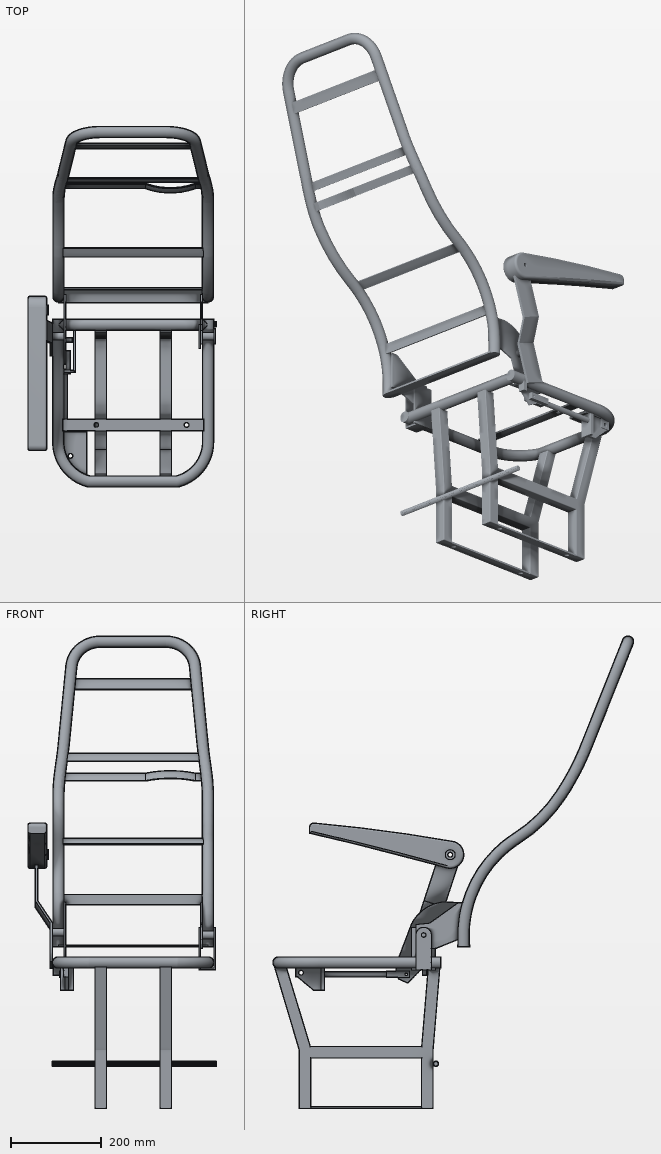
import cadquery as cq
import math


tube_d = 25.0
tube_r = tube_d / 2

seat_z = 321.5
seat_half = 165.0
seat_rear = 370.0
seat_bend_r = 90.0
seat_bend_angle = math.radians(76)
strap_y = 137.0
strap_w = 26.0
strap_hole_x = (-81.0, 117.5)
bolt_hole_d = 10.0
weld_bite = 3.0
seat_top = seat_z + tube_r
seat_under = seat_z - tube_r
rail_inner = seat_half - tube_r
rail_outer = seat_half + tube_r

leg_w = 26.0
leg_x = 71.5
leg_edge_r = 1.5
knee_z = 124.0
leg_bend_z = 130.5
rear_foot_y = 340.0
front_foot_y = 71.0
rear_leg_top_y = 355.0
front_leg_top_y = 16.5
foot_plate_t = 4.0
foot_hole_d = 10.0
foot_hole_inset = 30.0

back_half = 164.5
back_foot = (420.0, 356.0)
back_bend_start = (420.0, 382.0)
back_inflection = (537.0, 595.0)
back_bend_end = (635.0, 692.0)
head_start = (691.0, 800.0)
head_half = 153.0
back_top = (781.74, 1027.65)
head_lean = math.radians(5.2)
head_bend_r = 64.0

plate_t = 4.0
wing_outer = back_half - tube_r + 0.4
wing_inner = wing_outer - plate_t
left_pivot = (332.0, 388.0)
right_pivot = (332.0, 382.0)
pin_d = 10.0
pin_sleeve_d = 17.0
stop_pin = (324.0, 322.0)
stop_pin_x = -134.0

arm_pivot = (390.5, 558.7)
arm_tilt = 18.2
post_w = 47.0
post_t = 6.0
post_bend_upper = 114.0
post_bend_lower = 165.0
post_length = 255.5
post_offset = 32.5
pad_x0 = -231.6
pad_x1 = -190.0
pad_r = 30.0
pad_tip_y = 80.5
pad_tip_top = 629.5
pad_tip_bottom = 606.0
pad_top_slope = math.radians(10)
pad_bottom_slope = math.radians(15.5)
pad_edge_r = 5.0
pad_tip_r = 10.0
bush_d = 22.0
bush_bore = 10.0
bush_x1 = -186.5

spring_pin = (293.7, 295.5)
spring_rod_d = 12.0
clevis_w = 24.0
clevis_length = 51.0
clevis_h = 14.0
clevis_slot = 40.0
spring_pin_d = 5.0
anchor_y = 114.0

rod_d = 12.0
rod_root_d = 10.0
rod_pitch = 2.0
rod_x0 = -178.5
rod_length = 362.0
rod_z = 98.5
wire_d = 5.0
wire_x = -129.0
wire_y = 255.0


def box(x0, x1, y0, y1, z0, z1):
    return cq.Workplane("XY").box(x1 - x0, y1 - y0, z1 - z0, centered=False).translate((x0, y0, z0))


def bar_x(d, y, z, x0, x1):
    """Round bar along X."""
    return cq.Workplane("YZ", origin=(x0, 0, 0)).center(y, z).circle(d / 2).extrude(x1 - x0)


def bar_y(d, x, z, y0, y1):
    """Round bar along Y."""
    return cq.Workplane("XZ", origin=(0, y0, 0)).center(x, z).circle(d / 2).extrude(y0 - y1)


def plate(points, x0, x1):
    """Flat plate with a polygon outline in Y and Z."""
    return cq.Workplane("YZ", origin=(x0, 0, 0)).polyline(points).close().extrude(x1 - x0)


def sweep_tube(edges):
    start = edges[0].startPoint()
    section = cq.Workplane(cq.Plane(start, normal=edges[0].tangentAt(0))).circle(tube_r)
    return section.sweep(cq.Workplane(cq.Wire.assembleEdges(edges)))


def seat_ring():
    bend_y = tube_r + seat_bend_r * math.sin(seat_bend_angle)
    front_half = seat_half - seat_bend_r * (1 - math.cos(seat_bend_angle))
    mid = seat_bend_angle / 2
    mid_x = seat_half - seat_bend_r * (1 - math.cos(mid))
    mid_y = bend_y - seat_bend_r * math.sin(mid)

    ring = bar_x(tube_d, tube_r, seat_z, -front_half, front_half)
    ring = ring.union(bar_x(tube_d, seat_rear - tube_r, seat_z, -seat_half, seat_half))
    for side in (-1, 1):
        corner = cq.Edge.makeThreePointArc(
            cq.Vector(side * seat_half, bend_y, seat_z),
            cq.Vector(side * mid_x, mid_y, seat_z),
            cq.Vector(side * front_half, tube_r, seat_z),
        )
        joint = cq.Workplane("XY").sphere(tube_r).translate((side * front_half, tube_r, seat_z))
        ring = ring.union(bar_y(tube_d, side * seat_half, seat_z, bend_y, seat_rear))
        ring = ring.union(sweep_tube([corner])).union(joint)
    return ring


def leg_frame(x):
    """Two bent legs, the stretcher between their knees and the foot plate."""
    half = leg_w / 2
    x0 = x - half
    x1 = x + half
    leg_top_z = seat_under + weld_bite
    frame = box(x0, x1, front_foot_y, rear_foot_y, knee_z - half, knee_z + half)
    for foot_y, top_y in ((front_foot_y, front_leg_top_y), (rear_foot_y, rear_leg_top_y)):
        lean = math.atan((top_y - foot_y) / (leg_top_z - leg_bend_z))
        miter = half * math.tan(lean / 2)
        outline = [
            (foot_y - half, 0),
            (foot_y + half, 0),
            (foot_y + half, leg_bend_z - miter),
            (top_y + half, leg_top_z),
            (top_y - half, leg_top_z),
            (foot_y - half, leg_bend_z + miter),
        ]
        frame = frame.union(plate(outline, x0, x1))
    frame = frame.faces("<X or >X").edges().fillet(leg_edge_r)

    foot = box(x0 + leg_edge_r, x1 - leg_edge_r, front_foot_y, rear_foot_y, 0, foot_plate_t)
    holes = (
        cq.Workplane("XY")
        .pushPoints([(x, front_foot_y + foot_hole_inset), (x, rear_foot_y - foot_hole_inset)])
        .circle(foot_hole_d / 2)
        .extrude(foot_plate_t)
    )
    return frame.union(foot.cut(holes))


def seat_strap():
    """Flat cross strap between the side rails, with two bolt holes."""
    half_length = rail_inner + weld_bite
    y0 = strap_y - strap_w / 2
    y1 = strap_y + strap_w / 2
    top_z = seat_top - 2
    strap = box(-half_length, half_length, y0, y1, top_z - plate_t, top_z)
    holes = (
        cq.Workplane("XY", origin=(0, 0, seat_z))
        .pushPoints([(x, strap_y) for x in strap_hole_x])
        .circle(bolt_hole_d / 2)
        .extrude(tube_d)
    )
    return strap.cut(holes)


def spring_anchor():
    """Bracket under the front left corner that carries the gas spring."""
    shelf_z = seat_under + 2
    shelf_t = 6.0
    shelf_edge_x = -rail_inner - 0.5
    shelf_rear_y = 122.0
    inner_x = -102.0
    flange_z0 = 260.0
    flange_t = 8.0
    gusset_x0 = -150.0
    gusset_x1 = -142.0
    gusset_front_y = 54.0
    tab_z0 = 290.0

    shelf = (
        cq.Workplane("XY", origin=(0, 0, shelf_z))
        .polyline([
            (shelf_edge_x, shelf_rear_y),
            (inner_x, shelf_rear_y),
            (inner_x, 24),
            (-120, 30),
            (shelf_edge_x, 62),
        ])
        .close()
        .extrude(shelf_t)
    )
    shelf_hole = cq.Workplane("XY", origin=(-138, 69, shelf_z)).circle(bolt_hole_d / 2).extrude(shelf_t)
    flange = box(-160, -131, anchor_y - flange_t, anchor_y, flange_z0, shelf_z)
    gusset_outline = [
        (anchor_y, flange_z0),
        (90, flange_z0),
        (gusset_front_y, tab_z0),
        (gusset_front_y, shelf_z),
        (anchor_y, shelf_z),
    ]
    gusset = plate(gusset_outline, gusset_x0, gusset_x1)
    tab = box(shelf_edge_x, gusset_x1, 50, 74, tab_z0, shelf_z)
    tab_hole = bar_x(bolt_hole_d, 62, 299, shelf_edge_x, gusset_x1)
    return shelf.cut(shelf_hole).union(flange).union(gusset).union(tab).cut(tab_hole)


def hinge_bracket():
    """U-shaped bracket round the right rail: inner lug, base and rounded outer lug."""
    pivot_y, pivot_z = right_pivot
    base_z = seat_under - plate_t
    outer_r = 17.0
    lug_x = wing_inner - plate_t
    outer_x = rail_outer + plate_t
    inner = box(lug_x, wing_inner, 305, 358, base_z, pivot_z + outer_r)
    outer = box(rail_outer, outer_x, pivot_y - outer_r, pivot_y + outer_r, base_z, pivot_z)
    outer = outer.union(bar_x(2 * outer_r, pivot_y, pivot_z, rail_outer, outer_x))
    base = box(lug_x, outer_x, pivot_y - outer_r, pivot_y + outer_r, base_z, seat_under + 0.5)
    return inner.union(outer).union(base)


def stop_tab():
    """Small tab under the left rail, beside the rear leg."""
    return box(-176, -160, 329, 339, 293, seat_z)


seat_frame = seat_ring().union(seat_strap()).union(spring_anchor()).union(hinge_bracket())
for side in (-1, 1):
    seat_frame = seat_frame.union(leg_frame(side * leg_x))
seat_frame = seat_frame.union(stop_tab())


def backrest_tube():
    """Left half swept from the foot to the middle of the top bar, then mirrored."""
    def side_point(station):
        return cq.Vector(-back_half, *station)

    rise_y = back_top[0] - head_start[0]
    rise_z = back_top[1] - head_start[1]
    rise = math.hypot(rise_y, rise_z)

    def head_point(x, v):
        return cq.Vector(x, head_start[0] + rise_y * v / rise, head_start[1] + rise_z * v / rise)

    corner_x = -head_half + rise * math.tan(head_lean)
    corner_turn = math.pi / 2 - head_lean
    setback = head_bend_r * math.tan(corner_turn / 2)
    head_base = head_point(-head_half, 0)
    bend_in = head_point(corner_x - setback * math.sin(head_lean), rise - setback * math.cos(head_lean))
    bend_out = head_point(corner_x + setback, rise)
    head_line = cq.Edge.makeLine(head_base, bend_in)

    straight = cq.Edge.makeLine(side_point(back_foot), side_point(back_bend_start))
    lower = cq.Edge.makeTangentArc(
        side_point(back_bend_start), cq.Vector(0, 0, 1), side_point(back_inflection))
    upper = cq.Edge.makeTangentArc(side_point(back_inflection), lower.tangentAt(1), side_point(back_bend_end))
    blend = cq.Edge.makeSpline(
        [side_point(back_bend_end), head_base], tangents=[upper.tangentAt(1), head_line.tangentAt(0)])
    corner = cq.Edge.makeTangentArc(bend_in, head_line.tangentAt(0), bend_out)
    top = cq.Edge.makeLine(bend_out, head_point(0, rise))

    left = sweep_tube([straight, lower, upper, blend, head_line, corner, top])
    return left.union(left.mirror("YZ")).clean()


def cross_bar(half, y, z, tilt, width, thickness):
    """Flat bar across the backrest, its width tilted back from vertical by the given degrees."""
    bar = cq.Workplane("XY").box(2 * half, thickness, width)
    return bar.rotate((0, 0, 0), (1, 0, 0), -tilt).translate((0, y, z))


def grip_bar(half, y, z, tilt, width, thickness):
    """Flat bar with a stretch bowed forward as a hand grip."""
    grip_x0 = 27.0
    grip_x1 = 137.0
    bow = 11.0
    mid = (grip_x0 + grip_x1) / 2
    bar = (
        cq.Workplane("XY")
        .moveTo(-half, 0)
        .lineTo(grip_x0, 0)
        .threePointArc((mid, -bow), (grip_x1, 0))
        .lineTo(half, 0)
        .lineTo(half, thickness)
        .lineTo(grip_x1, thickness)
        .threePointArc((mid, thickness - bow), (grip_x0, thickness))
        .lineTo(-half, thickness)
        .close()
        .extrude(width)
        .translate((0, -thickness / 2, -width / 2))
    )
    return bar.rotate((0, 0, 0), (1, 0, 0), -tilt).translate((0, y, z))


def left_wing():
    """Hinge plate whose arm reaches below the seat rail to the gas spring."""
    wing = (
        cq.Workplane("YZ", origin=(-wing_outer, 0, 0))
        .moveTo(424, 453)
        .lineTo(376, 455)
        .threePointArc((336, 441), (305, 406))
        .lineTo(273, 322)
        .lineTo(270, 298)
        .lineTo(277, 285)
        .lineTo(297, 276)
        .lineTo(329, 309)
        .lineTo(353, 371)
        .lineTo(408, 392)
        .lineTo(424, 392)
        .close()
        .extrude(plate_t)
    )
    wing = wing.union(bar_x(pin_d, *stop_pin, -wing_inner, stop_pin_x))
    return wing.cut(bar_x(spring_pin_d, *spring_pin, -wing_outer, -wing_inner))


def right_wing():
    outline = [(424, 453), (408, 453), (345, 408), (315, 405), (315, 352), (358, 352), (408, 372), (424, 372)]
    return plate(outline, wing_inner, wing_outer)


backrest = (
    backrest_tube()
    .union(cross_bar(136, 751, 934, 21.7, 25, 4))
    .union(cross_bar(150, 676, 773, 24, 19, 3))
    .union(grip_bar(154, 663, 729.5, 30, 19, 3))
    .union(cross_bar(155, 517, 588, 57, 23, 3))
    .union(cross_bar(155, 436.5, 460, 4, 23, 4))
    .union(box(-back_half, back_half, 406, 434, back_foot[1], back_foot[1] + plate_t))
    .union(left_wing())
    .union(right_wing())
)


def pivot_pin(pivot, x_start, x_end, sleeve_start, sleeve_end):
    pin = bar_x(pin_d, *pivot, x_start, x_end)
    return pin.union(bar_x(pin_sleeve_d, *pivot, sleeve_start, sleeve_end))


left_pin = pivot_pin(left_pivot, -rail_outer - post_t, -wing_inner, -rail_outer, -wing_outer)
right_pin = pivot_pin(right_pivot, wing_inner - plate_t, rail_outer + plate_t, wing_outer, rail_outer)
backrest = backrest.cut(left_pin).cut(right_pin)
seat_frame = seat_frame.cut(right_pin)


def armrest_post():
    """Flat strip stepped sideways between two bends, round at its upper end."""
    x_low = -rail_outer
    x_high = x_low - post_offset
    profile = [
        (x_high, post_w / 2),
        (x_high, -post_bend_upper),
        (x_low, -post_bend_lower),
        (x_low, -post_length),
        (x_low - post_t, -post_length),
        (x_low - post_t, -post_bend_lower),
        (x_high - post_t, -post_bend_upper),
        (x_high - post_t, post_w / 2),
    ]
    strip = cq.Workplane("XZ", origin=(0, post_w / 2, 0)).polyline(profile).close().extrude(post_w)
    strip = strip.edges("|X and >Z").fillet(post_w / 2 - 0.01)
    return strip.rotate((0, 0, 0), (1, 0, 0), -arm_tilt).translate((0, *arm_pivot))


def armrest_pad():
    """Tapering pad: two bowed long sides, tangent to the round end about the pivot."""
    def point(y, z):
        return cq.Vector(pad_x0, y, z)

    def side_direction(slope):
        return cq.Vector(0, -math.cos(slope), math.sin(slope))

    def round_end_point(angle):
        return point(arm_pivot[0] + pad_r * math.sin(angle), arm_pivot[1] + pad_r * math.cos(angle))

    upper_start = round_end_point(pad_top_slope)
    lower_start = round_end_point(pad_bottom_slope + math.pi)
    back = round_end_point(math.pi / 2)
    tip_top = point(pad_tip_y, pad_tip_top)
    tip_bottom = point(pad_tip_y, pad_tip_bottom)
    outline = cq.Wire.assembleEdges([
        cq.Edge.makeThreePointArc(lower_start, back, upper_start),
        cq.Edge.makeTangentArc(upper_start, side_direction(pad_top_slope), tip_top),
        cq.Edge.makeLine(tip_top, tip_bottom),
        cq.Edge.makeTangentArc(lower_start, side_direction(pad_bottom_slope), tip_bottom),
    ])
    pad = cq.Workplane(cq.Solid.extrudeLinear(outline, [], cq.Vector(pad_x1 - pad_x0, 0, 0)))
    pad = pad.edges("|X and >Z").fillet(pad_tip_r)
    return pad.faces("<X or >X").edges().fillet(pad_edge_r)


post = armrest_post()
bush_hole = bar_x(bush_d, *arm_pivot, pad_x0, bush_x1)
bushing = bush_hole.cut(bar_x(bush_bore, *arm_pivot, pad_x0, bush_x1))
pad = armrest_pad().cut(post).cut(bush_hole)
post = post.cut(bush_hole).cut(left_pin)


def spring():
    """Rod with a clevis that straddles the arm of the left wing."""
    pin_y, pin_z = spring_pin
    axis_x = -(wing_inner + wing_outer) / 2
    rear = pin_y + clevis_h / 2
    front = rear - clevis_length
    half_w = clevis_w / 2
    half_h = clevis_h / 2
    clevis = box(axis_x - half_w, axis_x + half_w, front, rear, pin_z - half_h, pin_z + half_h)
    slot = box(-wing_outer, -wing_inner, rear - clevis_slot, rear, pin_z - half_h, pin_z + half_h)
    hole = bar_x(spring_pin_d, pin_y, pin_z, axis_x - half_w, axis_x + half_w)
    rod = bar_y(spring_rod_d, axis_x, pin_z, anchor_y, front)
    return clevis.cut(slot).cut(hole).union(rod)


gas_spring = spring()


def threaded_rod():
    """Threaded rod behind the rear legs, its thread shown as plain V grooves."""
    root = rod_root_d / 2
    profile = [(0, 0), (0, root)]
    for turn in range(int(rod_length / rod_pitch)):
        profile.append(((turn + 0.5) * rod_pitch, rod_d / 2))
        profile.append(((turn + 1) * rod_pitch, root))
    profile.append((rod_length, 0))
    rod = cq.Workplane("XY").polyline(profile).close().revolve(360, (0, 0, 0), (1, 0, 0))
    return rod.translate((rod_x0, rear_foot_y + leg_w / 2 + rod_d / 2, rod_z))


foot_rod = threaded_rod()


wire_path = (
    cq.Workplane("XY", origin=(0, 0, seat_z))
    .moveTo(-rail_inner, wire_y)
    .lineTo(wire_x, wire_y)
    .lineTo(wire_x, seat_rear - tube_d)
)
release_wire = (
    cq.Workplane("YZ", origin=(-rail_inner, wire_y, seat_z))
    .circle(wire_d / 2)
    .sweep(wire_path, transition="right")
)
release_wire = release_wire.cut(seat_frame)

bodies = [
    seat_frame,
    backrest,
    left_pin,
    right_pin,
    post,
    pad,
    bushing,
    gas_spring,
    foot_rod,
    release_wire,
]
result = cq.Compound.makeCompound([body.solids().val() for body in bodies])